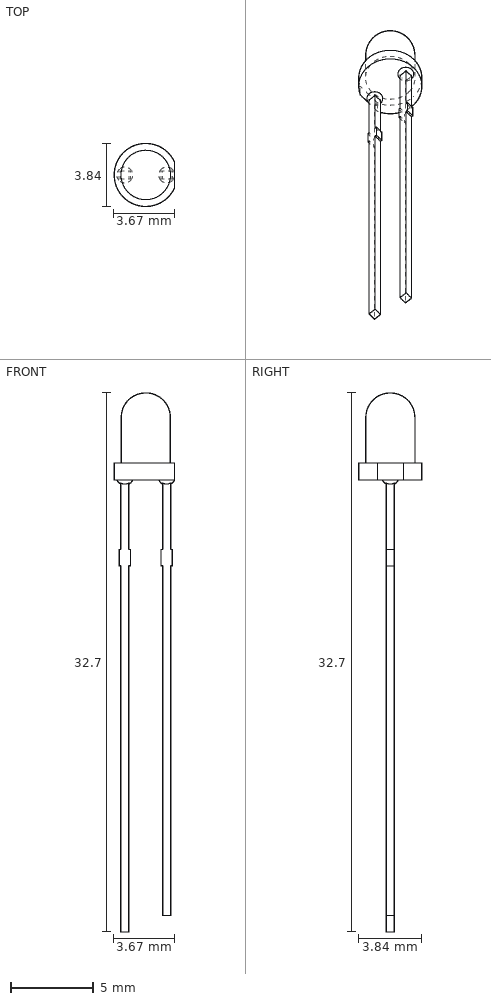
import cadquery as cq

lens_diameter = 3.0
lens_radius = lens_diameter / 2
flange_diameter = 3.84
flange_flat_x = 1.75
flange_height = 1.05
body_height = 5.3
dome_base_z = body_height - lens_radius

lead_pitch = 2.54
lead_width = 0.5
long_lead_length = 27.4
short_lead_length = 26.4

stop_width = 0.7
stop_top_z = -4.2
stop_height = 1.0

bead_radius = 0.48
bead_depth = 0.3


def make_body():
    flange = cq.Workplane("XY").circle(flange_diameter / 2).extrude(flange_height)
    flat_cutter = (
        cq.Workplane("XY")
        .box(flange_diameter, flange_diameter, flange_height, centered=(False, True, False))
        .translate((flange_flat_x, 0, 0))
    )
    lens = (
        cq.Workplane("XZ")
        .lineTo(lens_radius, 0)
        .lineTo(lens_radius, dome_base_z)
        .radiusArc((0, body_height), -lens_radius)
        .close()
        .revolve(360, (0, 0, 0), (0, 1, 0))
    )
    return flange.cut(flat_cutter).union(lens)


def make_bead():
    sphere_radius = (bead_radius**2 + bead_depth**2) / (2 * bead_depth)
    return (
        cq.Workplane("XZ")
        .lineTo(bead_radius, 0)
        .radiusArc((0, -bead_depth), sphere_radius)
        .close()
        .revolve(360, (0, 0, 0), (0, 1, 0))
    )


def make_lead(x, length):
    wire = cq.Workplane("XY").rect(lead_width, lead_width).extrude(-length)
    stop = (
        cq.Workplane("XY", origin=(0, 0, stop_top_z))
        .rect(stop_width, lead_width)
        .extrude(-stop_height)
    )
    return wire.union(stop).union(make_bead()).translate((x, 0, 0))


result = make_body()
for lead_x, lead_length in (
    (-lead_pitch / 2, long_lead_length),
    (lead_pitch / 2, short_lead_length),
):
    result = result.union(make_lead(lead_x, lead_length))